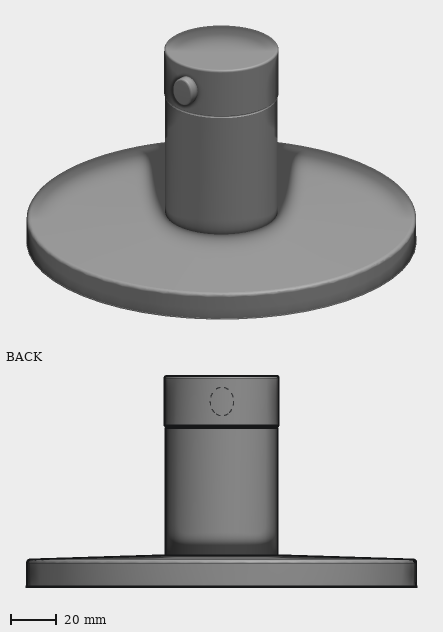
import cadquery as cq

foot_radius = 85.0
foot_height = 0.5
plate_radius = 84.8
plate_side_height = 12.0
plate_center_height = 14.0
plate_top_fillet = 1.7
plate_flat_radius = 25.3

column_radius = 49.0 / 2
neck_radius = 42.8 / 2
cap_radius = 49.8 / 2
total_height = 92.0
cap_height = 22.0
groove_height = 0.5
groove_chamfer = 0.3
cap_top_fillet = 1.0

button_width = 10.2
button_height = 12.4
button_center_z = 81.0
button_reach = 29.4
button_edge_fillet = 0.8

cap_bottom = total_height - cap_height
column_top = cap_bottom - groove_height


def make_cylinder(radius, bottom, top):
    return cq.Workplane("XY").workplane(offset=bottom).circle(radius).extrude(top - bottom)


def make_plate():
    profile = (
        cq.Workplane("XZ")
        .lineTo(foot_radius, 0)
        .lineTo(foot_radius, foot_height)
        .lineTo(plate_radius, foot_height)
        .lineTo(plate_radius, plate_side_height)
        .lineTo(plate_flat_radius, plate_center_height)
        .lineTo(0, plate_center_height)
        .close()
    )
    plate = profile.revolve(360, (0, 0, 0), (0, 1, 0))
    rim = cq.selectors.BoxSelector(
        (-plate_radius, -plate_radius, plate_side_height - plate_top_fillet),
        (plate_radius, plate_radius, (plate_side_height + plate_center_height) / 2),
        boundingbox=False,
    )
    return plate.edges("%CIRCLE").edges(rim).fillet(plate_top_fillet)


def make_cap():
    cap = make_cylinder(cap_radius, cap_bottom, total_height)
    cap = cap.faces(">Z").edges().fillet(cap_top_fillet)
    return cap.faces("<Z").edges().chamfer(groove_chamfer)


def make_button():
    button = (
        cq.Workplane("XZ")
        .center(0, button_center_z)
        .ellipse(button_width / 2, button_height / 2)
        .extrude(button_reach)
    )
    dome = cq.Workplane("XY", origin=(0, 0, button_center_z)).sphere(button_reach)
    button = button.intersect(dome)
    return button.faces("<Y").edges().fillet(button_edge_fillet)


def make_column():
    column = make_cylinder(column_radius, 0, column_top)
    return column.faces(">Z").edges().chamfer(groove_chamfer)


neck = make_cylinder(neck_radius, 0, cap_bottom)
result = make_plate().union(make_column()).union(neck).union(make_cap()).union(make_button())